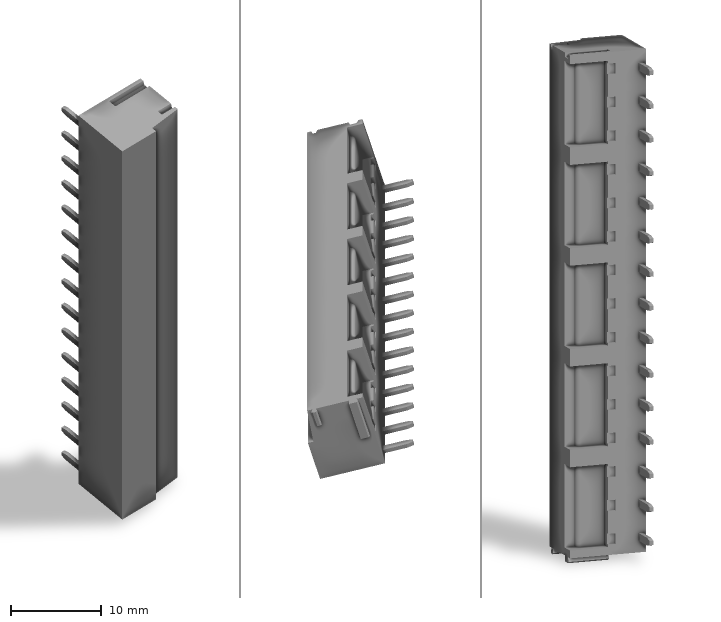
import cadquery as cq
import math

BODY_X = 7.45
BODY_Y = 9.0
BODY_Z = 57.0
SHOULDER_Y = 4.1
SLOPE_BASE_X = 6.8
SLOPE_TOP_X = 6.35

PIN_COUNT = 15
PIN_PITCH = 3.8
FIRST_PIN_Z = 1.8
PIN_LENGTH = 3.45
PIN_Y = -8.3
PIN_THICK = 0.45
PIN_WIDTH = 0.85
PIN_TAPER = 0.7
PIN_TIP_WIDTH = 0.45
PIN_ROOT = 0.6

PINS_PER_WINDOW = 3
WINDOW_COUNT = PIN_COUNT // PINS_PER_WINDOW
WINDOW_Z = 9.45
WINDOW_Y = 4.5
WINDOW_DEPTH = 1.25
REAR_DEPTH = 1.8
REAR_STRIP_Y = 1.2

NOTCH_Y = 0.85
NOTCH_Z = 1.2
NOTCH_DEPTH = 0.35

SIDE_TAPER = 0.2
TONGUE_DROP = 0.7
TONGUE_TIP = 0.2
SLOT_DEPTH = 0.5
WIDE_X = (0.49, 1.55)
WIDE_TONGUE_Y = 4.8
WIDE_SLOT_Y = 4.95
NARROW_X = (5.2, 5.9)
NARROW_TONGUE_Y = 1.85
NARROW_SLOT_Y = 1.9

PIN_LEVELS = [FIRST_PIN_Z + i * PIN_PITCH for i in range(PIN_COUNT)]


def make_housing():
    outline = [
        (0, 0),
        (SLOPE_TOP_X, 0),
        (SLOPE_BASE_X, -SHOULDER_Y),
        (BODY_X, -SHOULDER_Y),
        (BODY_X, -BODY_Y),
        (0, -BODY_Y),
    ]
    return cq.Workplane("XY").polyline(outline).close().extrude(BODY_Z)


def make_window(z_middle):
    """Recess with a rounded step between its deep rear strip and its shallower floor."""
    radius = REAR_DEPTH - WINDOW_DEPTH
    round_offset = radius * (1 - math.sqrt(0.5))
    bottom = cq.Workplane("XY").workplane(offset=z_middle - WINDOW_Z / 2)
    return (
        bottom.moveTo(0, 0)
        .lineTo(REAR_DEPTH, 0)
        .lineTo(REAR_DEPTH, -REAR_STRIP_Y)
        .threePointArc(
            (WINDOW_DEPTH + round_offset, -REAR_STRIP_Y - round_offset),
            (WINDOW_DEPTH, -REAR_STRIP_Y - radius),
        )
        .lineTo(WINDOW_DEPTH, -WINDOW_Y)
        .lineTo(0, -WINDOW_Y)
        .close()
        .extrude(WINDOW_Z)
    )


def make_notch(z_middle):
    notch = cq.Workplane("XY").box(NOTCH_DEPTH, NOTCH_Y, NOTCH_Z)
    return notch.translate((NOTCH_DEPTH / 2, -WINDOW_Y - NOTCH_Y / 2, z_middle))


def make_pin(z_middle):
    half, tip_half = PIN_WIDTH / 2, PIN_TIP_WIDTH / 2
    taper_x = PIN_TAPER - PIN_LENGTH
    outline = [
        (PIN_ROOT, z_middle - half),
        (taper_x, z_middle - half),
        (-PIN_LENGTH, z_middle - tip_half),
        (-PIN_LENGTH, z_middle + tip_half),
        (taper_x, z_middle + half),
        (PIN_ROOT, z_middle + half),
    ]
    side = cq.Workplane("XZ", origin=(0, PIN_Y, 0))
    return side.polyline(outline).close().extrude(PIN_THICK / 2, both=True)


def make_slot(x_range, length, right_taper):
    """Groove running forward from the rear face, narrower at its floor than at its mouth."""
    left, right = x_range
    floor_z = BODY_Z - SLOT_DEPTH
    outline = [
        (left, BODY_Z),
        (left + SIDE_TAPER, floor_z),
        (right - right_taper, floor_z),
        (right, BODY_Z),
    ]
    return cq.Workplane("XZ").polyline(outline).close().extrude(length)


def make_tongue(x_range, length, right_undercut):
    """Tongue running forward from the rear face, waisted at the top and bevelled at the tip."""
    left, right = x_range
    waist_left = left + SIDE_TAPER
    waist_right = right - right_undercut
    z_wide = TONGUE_TIP - TONGUE_DROP
    outline = [
        (waist_left, 0),
        (left, z_wide),
        (waist_left, -TONGUE_DROP),
        (waist_right, -TONGUE_DROP),
    ]
    if right_undercut > 0:
        outline.append((right, z_wide))
    outline.append((waist_right, 0))
    return cq.Workplane("XZ").polyline(outline).close().extrude(length)


result = make_housing()
for i in range(WINDOW_COUNT):
    middle_pin = i * PINS_PER_WINDOW + PINS_PER_WINDOW // 2
    result = result.cut(make_window(PIN_LEVELS[middle_pin]))
for level in PIN_LEVELS:
    result = result.cut(make_notch(level)).union(make_pin(level))

result = result.cut(make_slot(WIDE_X, WIDE_SLOT_Y, 0))
result = result.cut(make_slot(NARROW_X, NARROW_SLOT_Y, SIDE_TAPER))
result = result.union(make_tongue(WIDE_X, WIDE_TONGUE_Y, 0))
result = result.union(make_tongue(NARROW_X, NARROW_TONGUE_Y, SIDE_TAPER))